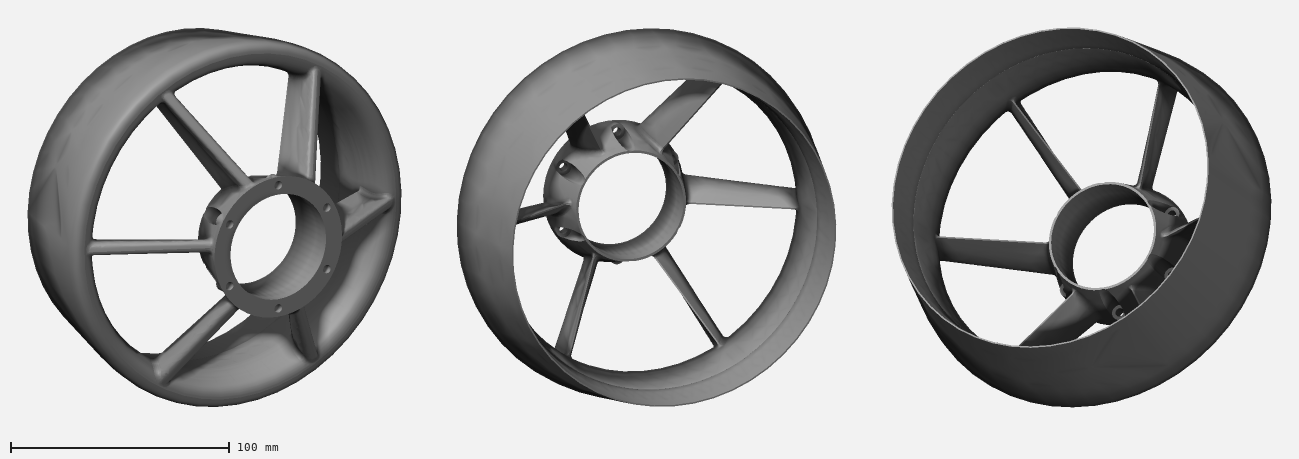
import cadquery as cq
import math


ring_length = 60.5
ring_radius = 86.8
thin_edge_radius = 77.5
thin_edge_wall = 0.7
outer_slope = 0.186
inner_slope = 0.1
cone_end = 46.9
crest_x = 53.5
outer_lip_size = 4.9
throat_x = 41.7
throat_radius = 72.4
lip_nose_radius = ring_radius - outer_lip_size

total_length = 95.3
hub_start = 67.4
hub_start_radius = 26.2
hub_end_radius = 33.5
bore_radius = 50.2 / 2

screw_count = 6
screw_circle_radius = 29.5
screw_hole_diameter = 4.0
seat_diameter = 7.3
seat_floor = 89.3
boss_fillet = 1.7

strut_count = 6
strut_chord = 22.4
strut_rake = 1.5
strut_root_radius = bore_radius + 0.2
strut_tip_radius = 83.3
tip_nose_x = 58.5
root_tail_height = -2.6
root_nose_height = 4.3
tip_tail_height = -0.9
tip_nose_height = 0.2
tail_thickness = 0.7
thickest_position = 15.0
crown_height = 4.2
crown_slope = 0.4
belly_depth = 0.7
strut_fillet = 2.0

end_face_margin = 0.02


def revolve_about_x(profile):
    return profile.close().revolve(360, (0, 0, 0), (1, 0, 0))


def make_ring():
    diagonal = math.sqrt(0.5)
    inner_edge_radius = thin_edge_radius - thin_edge_wall

    outer_curve = [
        (cone_end * fraction, thin_edge_radius + outer_slope * cone_end * fraction)
        for fraction in (0.25, 0.5, 0.75, 1)
    ]
    outer_curve.append((crest_x, ring_radius))
    outer_curve.append(
        (
            ring_length - outer_lip_size * (1 - diagonal),
            lip_nose_radius + outer_lip_size * diagonal,
        )
    )
    outer_curve.append((ring_length, lip_nose_radius))

    inner_curve = [
        (
            throat_x + (ring_length - throat_x) * diagonal,
            lip_nose_radius - (lip_nose_radius - throat_radius) * diagonal,
        ),
        (throat_x, throat_radius),
        (throat_x / 2, (throat_radius + inner_edge_radius) / 2),
        (0, inner_edge_radius),
    ]

    profile = (
        cq.Workplane("XY")
        .moveTo(0, inner_edge_radius)
        .lineTo(0, thin_edge_radius)
        .spline(outer_curve, tangents=[(1, outer_slope), (0, -1)], includeCurrent=True)
        .spline(inner_curve, tangents=[(0, -1), (-1, inner_slope)], includeCurrent=True)
    )
    return revolve_about_x(profile).rotate((0, 0, 0), (1, 0, 0), 180 / strut_count)


def make_sleeve(start):
    """Part of the conical hub from X = start to its wide end."""
    cone_slope = (hub_end_radius - hub_start_radius) / (total_length - hub_start)
    profile = cq.Workplane("XY").polyline(
        [
            (start, bore_radius),
            (start, hub_end_radius - cone_slope * (total_length - start)),
            (total_length, hub_end_radius),
            (total_length, bore_radius),
        ]
    )
    return revolve_about_x(profile).rotate((0, 0, 0), (1, 0, 0), 90 / strut_count)


def strut_section(radius, tail_height, nose_height):
    """Closed airfoil outline on the plane Y = -radius, with its nose towards +X."""
    nose_x = tip_nose_x + (strut_tip_radius - radius) / strut_rake
    tail_x = nose_x - strut_chord
    pitch = (nose_height - tail_height) / strut_chord

    def place(along_chord, above_chord):
        return (tail_x + along_chord, tail_height + pitch * along_chord + above_chord)

    upper_curve = [place(thickest_position, crown_height), place(strut_chord, 0)]
    lower_curve = [place(thickest_position, -belly_depth), place(0, 0)]
    return (
        cq.Workplane("XZ", origin=(0, -radius, 0))
        .moveTo(*place(0, 0))
        .lineTo(*place(0, tail_thickness))
        .spline(upper_curve, tangents=[(1, pitch + crown_slope), (0, -1)], includeCurrent=True)
        .spline(lower_curve, tangents=[(0, -1), (-1, -pitch)], includeCurrent=True)
        .close()
        .wires()
        .val()
    )


def make_strut():
    root = strut_section(strut_root_radius, root_tail_height, root_nose_height)
    tip = strut_section(strut_tip_radius, tip_tail_height, tip_nose_height)
    blade = cq.Workplane(cq.Solid.makeLoft([root, tip], True))
    return blade.intersect(cq.Workplane("YZ").circle(ring_radius).extrude(total_length))


def make_screw_cylinder(diameter, start, end):
    return (
        cq.Workplane("YZ", origin=(start, 0, 0))
        .center(0, screw_circle_radius)
        .circle(diameter / 2)
        .extrude(end - start)
    )


def around_axis(feature, count):
    return [feature.rotate((0, 0, 0), (1, 0, 0), index * 360 / count) for index in range(count)]


def fillet_joints(body, size, inner_radius, outer_radius, start):
    """Round the free-form edges centred between two radii and beyond X = start."""

    def is_joint(edge):
        centre = edge.Center()
        radius = math.hypot(centre.y, centre.z)
        between_radii = inner_radius < radius < outer_radius
        between_ends = start < centre.x < total_length - end_face_margin
        return between_radii and between_ends and edge.geomType() == "BSPLINE"

    joints = [edge for edge in body.edges().vals() if is_joint(edge)]
    return cq.Workplane(body.val().fillet(size, joints))


flange = make_sleeve(seat_floor)
for boss in around_axis(make_screw_cylinder(seat_diameter, seat_floor, total_length), screw_count):
    flange = flange.union(boss)
flange = fillet_joints(flange, boss_fillet, screw_circle_radius, hub_end_radius, seat_floor)

result = make_sleeve(hub_start)
for strut in around_axis(make_strut(), strut_count):
    result = result.union(strut, clean=False)
result = fillet_joints(result, strut_fillet, hub_start_radius, hub_end_radius, hub_start)
result = result.union(flange)

seat = make_screw_cylinder(seat_diameter, hub_start, seat_floor)
hole = make_screw_cylinder(screw_hole_diameter, hub_start, total_length)
for seat_and_hole in around_axis(seat.union(hole), screw_count):
    result = result.cut(seat_and_hole, clean=False)

result = result.union(make_ring(), clean=False)
result = fillet_joints(
    result, strut_fillet, throat_radius - strut_fillet, lip_nose_radius, cone_end / 2
)